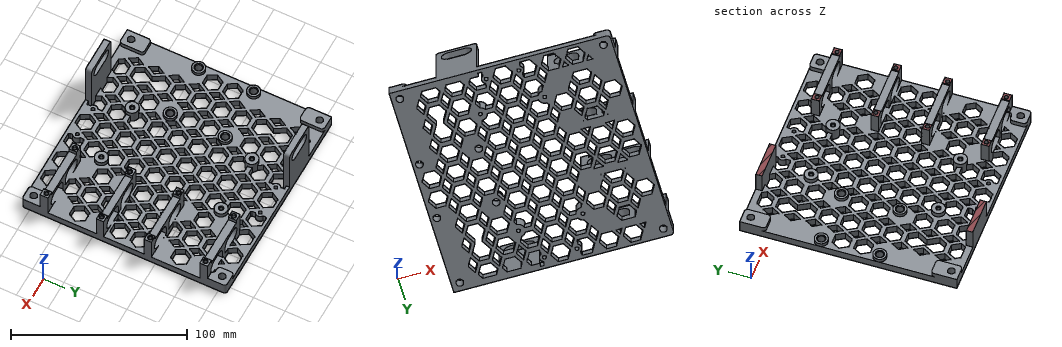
import cadquery as cq
import math

PLATE_SIZE = 130.0
PLATE_THICKNESS = 5.0
HALF_PLATE = PLATE_SIZE / 2
SCREW_DIAMETER = 4.3
PILOT_DIAMETER = 2.1
HOLE_CHAMFER = 0.5
PLATE_CORNER_RADIUS = 2.0

HEX_FLATS = 10.0
HEX_DIAMETER = HEX_FLATS * 2 / math.sqrt(3)
COLUMN_PITCH = 14.25
GRID_CENTRE_X = 0.1
ROW_PITCH = 12.89
COLUMN_COUNT = 9
ROW_OFFSETS = (0.5, 1.5, 2.5, 3.5, 4.5)
DIAMOND_HALF_HEIGHT = 4.8
DIAMOND_HALF_WIDTH = DIAMOND_HALF_HEIGHT / math.sqrt(3)
SOLID_HEX_COLUMNS = {
    0.5: (),
    1.5: (-4, -2, 2, 4),
    2.5: (-4,),
    3.5: (-4, 2, 4),
    4.5: (-4, 4),
}
SOLID_DIAMOND_COLUMNS = {3: (-1.5, 1.5)}
DIAMOND_ROWS = range(-4, 5)
HALF_DIAMOND_ROW = 4
HALF_DIAMOND_COLUMNS = (2.5, 3.5)
LINK_COLUMN = -3
LINK_ROW = 3

PAD_HEIGHT = 8.0
PAD_WIDTH = 10.0
LEFT_PAD_LENGTH = 15.5
RIGHT_PAD_LENGTH = 10.0
PAD_CORNER_RADIUS = 2.0
CORNER_HOLE_POSITION = 60.0

HANDLE_LEFT = -37.3
HANDLE_WIDTH = 24.0
HANDLE_THICKNESS = 4.0
HANDLE_HEIGHT = 36.0
HANDLE_CORNER_RADIUS = 2.0
HANDLE_SLOT_LENGTH = 17.7
HANDLE_SLOT_WIDTH = 8.0
HANDLE_SLOT_Z = 29.2

BRACKET_LENGTH = 40.0
BRACKET_HEIGHT = 20.0
BRACKET_SEAT_HEIGHT = 17.45
BRACKET_POST_LENGTH = 4.7
OUTER_BRACKET = (5.0, 50.8, 50.6)
INNER_BRACKET = (4.6, 15.2, 15.5)
WINDOW_WIDTH = 14.4
WINDOW_TOP = 15.0
WINDOW_RADIUS = 5.0
WINDOW_FILLET_GAP = 0.01
MULLION_WIDTH = 3.3
BRACKET_SCREW_INSET = 2.6
BRACKET_SCREW_DEPTH = 8.0

STANDOFF_DIAMETER = 8.0
MOUNT_DIAMETER = 7.98
STANDOFF_HEIGHT = 8.0
STANDOFF_X = 19.0
STANDOFF_Y = 38.1
MOUNT_HEIGHT = 7.3
MOUNT_CENTRE_X = -43.5
MOUNT_SPACING = 35.0

EDGE_BOSS_DIAMETER = 5.6
EDGE_BOSS_X = 9.6
EDGE_BOSS_Y = 58.2
EDGE_WEB_WIDTH = 2.8


def block(x_min, x_max, y_min, y_max, height):
    """Box between the given X and Y limits, standing on Z = 0."""
    size_x = x_max - x_min
    size_y = y_max - y_min
    return cq.Workplane("XY").box(size_x, size_y, height, centered=False).translate((x_min, y_min, 0))


def both_sides(solid):
    """The solid joined to its mirror image across the XZ plane."""
    return solid.union(solid.mirror("XZ"))


def column_x(column):
    """X position of a grid column; halves lie midway between two columns of hexagons."""
    return GRID_CENTRE_X + column * COLUMN_PITCH


def hex_openings():
    """Hexagonal openings on a rectangular grid, with the solid positions left out."""
    last_column = COLUMN_COUNT // 2
    centres = []
    for offset in ROW_OFFSETS:
        for column in range(-last_column, last_column + 1):
            if column in SOLID_HEX_COLUMNS[offset]:
                continue
            for side in (-1, 1):
                centres.append((column_x(column), side * offset * ROW_PITCH))
    return cq.Workplane("XY").pushPoints(centres).polygon(6, HEX_DIAMETER).extrude(PLATE_THICKNESS)


def hex_links():
    """Waisted openings that join two stacked hexagons by carrying their slanted sides on."""
    x = column_x(LINK_COLUMN)
    y = LINK_ROW * ROW_PITCH
    half_gap = (ROW_PITCH - HEX_FLATS) / 2
    half_end = HEX_DIAMETER / 4
    half_waist = half_end - half_gap / math.sqrt(3)
    outline = [
        (x - half_end, y - half_gap),
        (x + half_end, y - half_gap),
        (x + half_waist, y),
        (x + half_end, y + half_gap),
        (x - half_end, y + half_gap),
        (x - half_waist, y),
    ]
    return both_sides(cq.Workplane("XY").polyline(outline).close().extrude(PLATE_THICKNESS))


def diamond_openings():
    """Diamond openings in the gaps between the hexagons."""
    diamonds = cq.Workplane("XY")
    for row in DIAMOND_ROWS:
        for gap in range(COLUMN_COUNT - 1):
            column = gap - COLUMN_COUNT / 2 + 1
            if column in SOLID_DIAMOND_COLUMNS.get(abs(row), ()):
                continue
            x = column_x(column)
            y = row * ROW_PITCH
            lower = (x, y - DIAMOND_HALF_HEIGHT)
            upper = (x, y + DIAMOND_HALF_HEIGHT)
            left = (x - DIAMOND_HALF_WIDTH, y)
            right = (x + DIAMOND_HALF_WIDTH, y)
            outline = [left, lower, right, upper]
            if abs(row) == HALF_DIAMOND_ROW and column in HALF_DIAMOND_COLUMNS:
                outline.remove(lower if row > 0 else upper)
            diamonds = diamonds.polyline(outline).close()
    return diamonds.extrude(PLATE_THICKNESS)


def edge_bosses():
    """Flush bosses and the webs that close the outer hexagons beside them."""
    half_web = EDGE_WEB_WIDTH / 2
    web_start = ROW_OFFSETS[-1] * ROW_PITCH - HEX_FLATS / 2
    centres = [(-EDGE_BOSS_X, EDGE_BOSS_Y), (EDGE_BOSS_X, EDGE_BOSS_Y)]
    bosses = cq.Workplane("XY").pushPoints(centres).circle(EDGE_BOSS_DIAMETER / 2).extrude(PLATE_THICKNESS)
    for x, _ in centres:
        web = block(x - half_web, x + half_web, web_start, HALF_PLATE, PLATE_THICKNESS)
        bosses = bosses.union(web)
    return both_sides(bosses)


def perforated_plate():
    """Square plate with the ventilation grid, flush bosses and a solid rim beside the handles."""
    plate = block(-HALF_PLATE, HALF_PLATE, -HALF_PLATE, HALF_PLATE, PLATE_THICKNESS)
    plate = plate.cut(hex_openings()).cut(hex_links())
    plate = plate.union(edge_bosses()).cut(diamond_openings())
    rim_start = HALF_PLATE - HANDLE_THICKNESS
    rim = block(-HALF_PLATE, HANDLE_LEFT + HANDLE_WIDTH, rim_start, HALF_PLATE, PLATE_THICKNESS)
    return plate.union(both_sides(rim))


def corner_pads():
    """Raised pads at the four corners; each right pad runs on under its bracket post."""
    left_end = -HALF_PLATE + PAD_WIDTH
    left_start = HALF_PLATE - LEFT_PAD_LENGTH
    left_pad = block(-HALF_PLATE, left_end, left_start, HALF_PLATE, PAD_HEIGHT)
    left_pad = left_pad.edges("|Z").edges(">X or <Y").fillet(PAD_CORNER_RADIUS)

    right_start = HALF_PLATE - PAD_WIDTH
    right_end = HALF_PLATE - RIGHT_PAD_LENGTH
    post_start = HALF_PLATE - BRACKET_POST_LENGTH
    bracket_y = OUTER_BRACKET[1]
    outline = [
        (right_start, HALF_PLATE),
        (right_start, right_end),
        (post_start, right_end),
        (post_start, bracket_y),
        (HALF_PLATE, bracket_y),
        (HALF_PLATE, HALF_PLATE),
    ]
    right_pad = cq.Workplane("XY").polyline(outline).close().extrude(PAD_HEIGHT)
    right_pad = right_pad.edges("|Z and <X").fillet(PAD_CORNER_RADIUS)
    inner_corner = cq.selectors.NearestToPointSelector((post_start, right_end, PAD_HEIGHT / 2))
    right_pad = right_pad.edges("|Z").edges(inner_corner).fillet(PAD_CORNER_RADIUS)
    return both_sides(left_pad.union(right_pad))


def handles():
    """Upright handles with rounded top corners and a finger slot."""
    handle = block(
        HANDLE_LEFT,
        HANDLE_LEFT + HANDLE_WIDTH,
        HALF_PLATE - HANDLE_THICKNESS,
        HALF_PLATE,
        HANDLE_HEIGHT,
    )
    handle = handle.edges("|Y and >Z").fillet(HANDLE_CORNER_RADIUS)
    slot = (
        cq.Workplane("XZ", origin=(HANDLE_LEFT + HANDLE_WIDTH / 2, HALF_PLATE, HANDLE_SLOT_Z))
        .slot2D(HANDLE_SLOT_LENGTH, HANDLE_SLOT_WIDTH)
        .extrude(HANDLE_THICKNESS)
    )
    return both_sides(handle.cut(slot))


def bracket(thickness, centre_y, screw_y):
    """Bracket with two posts, a lower seat between them, two windows and a screw hole in each post."""
    x_start = HALF_PLATE - BRACKET_LENGTH
    x_centre = HALF_PLATE - BRACKET_LENGTH / 2
    back_y = centre_y + thickness / 2
    front_y = centre_y - thickness / 2
    body = block(x_start, HALF_PLATE, front_y, back_y, BRACKET_HEIGHT)

    seat = block(
        x_start + BRACKET_POST_LENGTH,
        HALF_PLATE - BRACKET_POST_LENGTH,
        front_y,
        back_y,
        BRACKET_HEIGHT - BRACKET_SEAT_HEIGHT,
    )
    body = body.cut(seat.translate((0, 0, BRACKET_SEAT_HEIGHT)))

    window_start = x_centre - MULLION_WIDTH / 2 - WINDOW_WIDTH
    window = block(window_start, window_start + WINDOW_WIDTH, front_y, back_y, WINDOW_TOP - PLATE_THICKNESS)
    outer_radius = WINDOW_RADIUS - WINDOW_FILLET_GAP
    window = window.edges("|Y and >X and >Z").fillet(WINDOW_RADIUS)
    window = window.edges("|Y and <X").fillet(outer_radius)
    window = window.translate((-x_centre, 0, PLATE_THICKNESS))
    windows = window.union(window.mirror("YZ")).translate((x_centre, 0, 0))
    body = body.cut(windows)

    for screw_x in (x_start + BRACKET_SCREW_INSET, HALF_PLATE - BRACKET_SCREW_INSET):
        body = body.cut(chamfered_hole(screw_x, screw_y, PILOT_DIAMETER, BRACKET_HEIGHT, BRACKET_SCREW_DEPTH))
    return body


def chamfered_hole(x, y, diameter, top, depth):
    """Cutter for a vertical hole that opens at the top through a 45 degree chamfer."""
    radius = diameter / 2
    profile = [
        (0, top),
        (radius + HOLE_CHAMFER, top),
        (radius, top - HOLE_CHAMFER),
        (radius, top - depth),
        (0, top - depth),
    ]
    cutter = cq.Workplane("XZ").polyline(profile).close().revolve(360, (0, 0), (0, 1))
    return cutter.translate((x, y, 0))


def add_bosses(body, centres, diameter, height, hole_diameter):
    """Body with round bosses joined on, each drilled through."""
    body = body.union(cq.Workplane("XY").pushPoints(centres).circle(diameter / 2).extrude(height))
    for x, y in centres:
        body = body.cut(chamfered_hole(x, y, hole_diameter, height, height))
    return body


def rectangle_points(centre_x, half_x, half_y):
    """Corners of a rectangle that is symmetric about the X axis."""
    return [(centre_x + i * half_x, j * half_y) for i in (-1, 1) for j in (-1, 1)]


def through_holes(centres, diameter):
    """Cutter for plain vertical holes through the plate and pads."""
    return cq.Workplane("XY").pushPoints(centres).circle(diameter / 2).extrude(PAD_HEIGHT)


standoff_points = rectangle_points(0, STANDOFF_X, STANDOFF_Y)
mount_points = rectangle_points(MOUNT_CENTRE_X, MOUNT_SPACING / 2, MOUNT_SPACING / 2)
corner_points = rectangle_points(0, CORNER_HOLE_POSITION, CORNER_HOLE_POSITION)
edge_boss_points = rectangle_points(0, EDGE_BOSS_X, EDGE_BOSS_Y)

body = perforated_plate().union(corner_pads())
body = body.edges("|Z and >X").edges("<Y or >Y").fillet(PLATE_CORNER_RADIUS)
body = body.union(handles())
body = body.union(both_sides(bracket(*OUTER_BRACKET)))
body = body.union(both_sides(bracket(*INNER_BRACKET)))
body = add_bosses(body, standoff_points, STANDOFF_DIAMETER, STANDOFF_HEIGHT, PILOT_DIAMETER)
body = add_bosses(body, mount_points, MOUNT_DIAMETER, MOUNT_HEIGHT, SCREW_DIAMETER)
body = body.cut(through_holes(corner_points, SCREW_DIAMETER))
result = body.cut(through_holes(edge_boss_points, PILOT_DIAMETER))